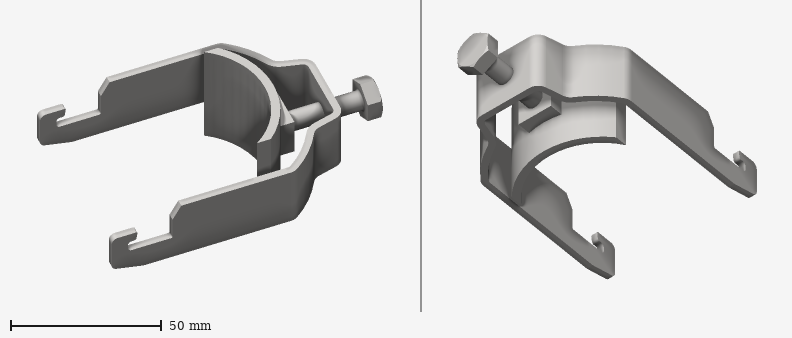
import cadquery as cq
import math

length = 108.0

strap_width = 64.0
strap_thickness = 2.6
strap_height = 23.1
strap_crown_y = 91.0
crown_half_width = 13.9
neck_half_width = 17.0
shoulder_radius = 38.2
shoulder_center_y = 44.8
bend_radius = 4.5
neck_bend_radius = 4.3

leg_top_end_y = 25.0
notch_start_y = 21.8
notch_bevel_z = 6.2
notch_floor_z = -2.5
notch_end_y = 5.8
lip_bottom_y = 8.7
lip_bottom_z = 1.7
lip_top_y = 9.3
hook_top_z = 5.3
tip_bottom_z = -8.9
taper_start_y = 11.5
notch_corner_radius = 0.5
notch_end_radius = 1.3
lip_bottom_radius = 1.0
lip_top_radius = 0.5
tip_radius = 2.2

saddle_width = 45.4
saddle_height = 40.0
saddle_outer_radius = 30.0
saddle_thickness = 3.0
saddle_center_y = 41.4
block_width = 14.0
block_top_y = 76.0

shank_diameter = 7.0
head_across_flats = 13.1
head_height = 5.4
head_chamfer_angle = 30.0
neck_fillet = 0.5

strap_half_width = strap_width / 2
strap_half_height = strap_height / 2
head_bottom_y = length - head_height


def cylinder_along_y(diameter, start_y, end_y):
    """Cylinder on the bolt axis between two Y positions."""
    start = cq.Workplane("XZ", origin=(0, start_y, 0))
    return start.circle(diameter / 2).extrude(start_y - end_y)


def shoulder_y(x):
    """Height of the outer shoulder arc above a given X."""
    return shoulder_center_y + math.sqrt(shoulder_radius**2 - x**2)


def bent_band():
    """Constant-thickness band following the crown, neck, shoulders and legs."""
    open_end_y = -strap_thickness
    neck_y = shoulder_y(neck_half_width)
    shoulder_end_y = shoulder_y(strap_half_width)
    shoulder_middle_x = (neck_half_width + strap_half_width) / 2
    shoulder_middle_y = shoulder_y(shoulder_middle_x)
    outer = (
        cq.Workplane("XY")
        .workplane(offset=-strap_half_height)
        .moveTo(-strap_half_width, open_end_y)
        .lineTo(-strap_half_width, shoulder_end_y)
        .threePointArc((-shoulder_middle_x, shoulder_middle_y), (-neck_half_width, neck_y))
        .lineTo(-crown_half_width, strap_crown_y)
        .lineTo(crown_half_width, strap_crown_y)
        .lineTo(neck_half_width, neck_y)
        .threePointArc((shoulder_middle_x, shoulder_middle_y), (strap_half_width, shoulder_end_y))
        .lineTo(strap_half_width, open_end_y)
        .close()
        .extrude(strap_height)
    )
    for side in (-1, 1):
        for x, y, radius in (
            (crown_half_width, strap_crown_y, bend_radius),
            (neck_half_width, neck_y, neck_bend_radius),
            (strap_half_width, shoulder_end_y, bend_radius),
        ):
            corner = cq.selectors.NearestToPointSelector((side * x, y, 0))
            outer = outer.edges("|Z").edges(corner).fillet(radius)
    inner = outer.faces(">Z").wires().toPending().offset2D(-strap_thickness).extrude(
        -strap_height, combine=False
    )
    return outer.cut(inner)


def leg_outline():
    """Side profile of the strap, with the hook, extruded across its width."""
    profile = (
        cq.Workplane("YZ")
        .workplane(offset=-strap_half_width)
        .polyline([
            (strap_crown_y, strap_half_height),
            (leg_top_end_y, strap_half_height),
            (notch_start_y, notch_bevel_z),
            (notch_start_y, notch_floor_z),
            (notch_end_y, notch_floor_z),
            (notch_end_y, lip_bottom_z),
            (lip_bottom_y, lip_bottom_z),
            (lip_top_y, hook_top_z),
            (0, hook_top_z),
            (0, tip_bottom_z),
            (taper_start_y, -strap_half_height),
            (strap_crown_y, -strap_half_height),
        ])
        .close()
        .extrude(strap_width)
    )
    for y, z, radius in (
        (notch_start_y, notch_floor_z, notch_corner_radius),
        (notch_end_y, notch_floor_z, notch_end_radius),
        (notch_end_y, lip_bottom_z, notch_end_radius),
        (lip_bottom_y, lip_bottom_z, lip_bottom_radius),
        (lip_top_y, hook_top_z, lip_top_radius),
        (0, hook_top_z, tip_radius),
        (0, tip_bottom_z, tip_radius),
    ):
        corner = cq.selectors.NearestToPointSelector((0, y, z))
        profile = profile.edges("|X").edges(corner).fillet(radius)
    return profile


def make_strap():
    """Bent band trimmed to the hook profile, with the bolt hole in its crown."""
    bolt_hole = cylinder_along_y(shank_diameter, block_top_y, head_bottom_y)
    return bent_band().intersect(leg_outline()).cut(bolt_hole)


def make_saddle():
    """Arc-shaped pad with flat vertical ends and a square block on its back."""
    base = cq.Workplane("XY", origin=(0, saddle_center_y, -saddle_height / 2))
    outer = base.circle(saddle_outer_radius).extrude(saddle_height)
    bore = base.circle(saddle_outer_radius - saddle_thickness).extrude(saddle_height)
    width_limit = base.rect(saddle_width, 2 * saddle_outer_radius).extrude(saddle_height)
    open_half = base.center(0, -saddle_outer_radius / 2).rect(
        saddle_width, saddle_outer_radius
    ).extrude(saddle_height)
    block_depth = block_top_y - saddle_center_y
    block = cq.Workplane("XY", origin=(0, saddle_center_y + block_depth / 2, 0)).box(
        block_width, block_depth, block_width
    )
    return outer.intersect(width_limit).cut(open_half).union(block).cut(bore)


def make_bolt():
    """Hexagon-head bolt along Y, its end resting on the saddle block."""
    shank = cylinder_along_y(shank_diameter, block_top_y, length)
    corner_diameter = head_across_flats / math.cos(math.radians(30))
    head = (
        cq.Workplane("XZ", origin=(0, head_bottom_y, 0))
        .transformed(rotate=(0, 0, 90))
        .polygon(6, corner_diameter)
        .extrude(-head_height)
    )
    corner_radius = corner_diameter / 2
    flat_radius = head_across_flats / 2
    bevel_depth = (corner_radius - flat_radius) * math.tan(math.radians(head_chamfer_angle))
    envelope = (
        cq.Workplane("XY")
        .polyline([
            (0, head_bottom_y),
            (corner_radius, head_bottom_y),
            (corner_radius, length - bevel_depth),
            (flat_radius, length),
            (0, length),
        ])
        .close()
        .revolve(360, (0, 0, 0), (0, 1, 0))
    )
    bolt = head.intersect(envelope).union(shank)
    under_head = cq.selectors.BoxSelector(
        (-shank_diameter, head_bottom_y - neck_fillet, -shank_diameter),
        (shank_diameter, head_bottom_y + neck_fillet, shank_diameter),
    )
    return bolt.edges("%CIRCLE").edges(under_head).fillet(neck_fillet)


strap = make_strap()
saddle = make_saddle()
bolt = make_bolt()

result = cq.Compound.makeCompound([strap.val(), saddle.val(), bolt.val()])